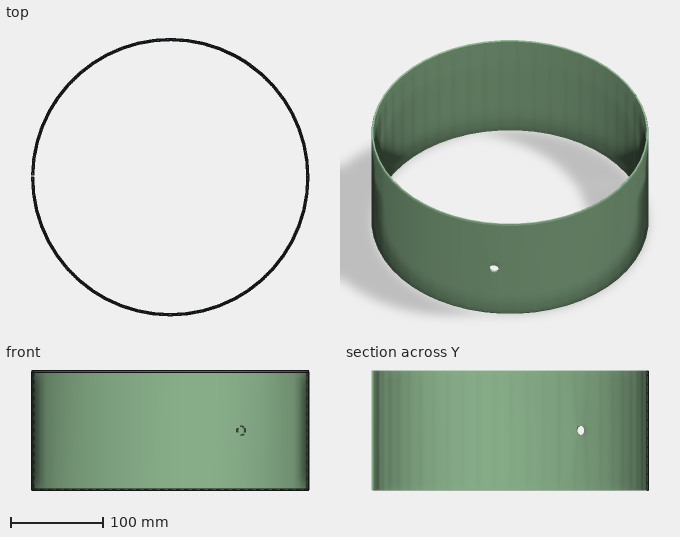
import cadquery as cq

outer_diameter = 300.0
height = 130.0
wall = 2.5
outer_chamfer_height = 1.8
outer_chamfer_depth = 0.5
inner_chamfer = 0.5
slit_width = 2.0
hole_diameter = 10.0
hole_angle = 59.0

outer_radius = outer_diameter / 2


def make_band():
    """Thin ring with steep chamfers on the outer rim edges and 45-degree ones on the inner."""
    disc = cq.Workplane("XY").circle(outer_radius).extrude(height)
    disc = disc.faces("<Z or >Z").edges().chamfer(outer_chamfer_height, outer_chamfer_depth)
    bore = cq.Workplane("XY").circle(outer_radius - wall).extrude(height)
    ring = disc.cut(bore)
    inner_edges = ring.faces("<Z or >Z").edges(cq.selectors.RadiusNthSelector(0))
    return inner_edges.chamfer(inner_chamfer)


def make_slit():
    """Full-height gap through the wall on the -X side, with one face on the XZ plane."""
    cutter_length = 4 * wall
    return (
        cq.Workplane("XY")
        .center(-outer_radius, slit_width / 2)
        .rect(cutter_length, slit_width)
        .extrude(height)
    )


def make_hole():
    """Radial hole at mid-height through one side of the wall."""
    return (
        cq.Workplane("YZ")
        .center(0, height / 2)
        .circle(hole_diameter / 2)
        .extrude(outer_diameter)
        .rotate((0, 0, 0), (0, 0, 1), hole_angle)
    )


result = make_band().cut(make_slit()).cut(make_hole())